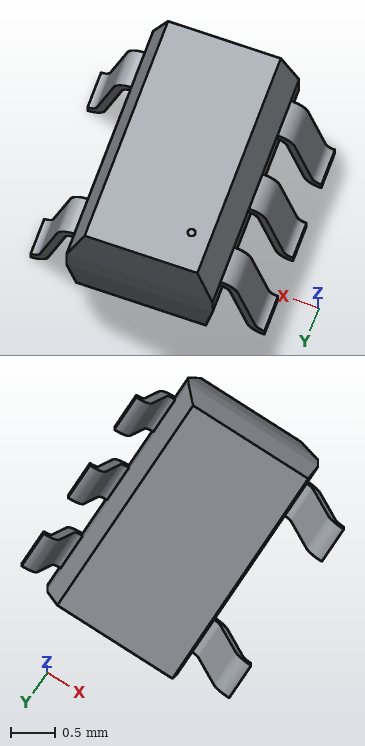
import cadquery as cq
import math

body_width = 1.752
body_length = 2.9
body_clearance = 0.25
bottom_height = 0.58
belt_height = 0.29
top_height = 0.58
bottom_side_inset = 0.1
top_side_inset = 0.2
end_inset = 0.055

belt_bottom_z = body_clearance + bottom_height
belt_top_z = belt_bottom_z + belt_height
body_top_z = belt_top_z + top_height

lead_width = 0.452
lead_pitch = 0.95
lead_thickness = 0.102
lead_top_z = 1.108
outer_bend_radius = 0.218
inner_bend_radius = outer_bend_radius - lead_thickness
leg_angle = math.radians(75)

mark_diameter = 0.087
mark_depth = 0.03
mark_x = -0.447
mark_y = lead_pitch


def frustum(bottom_z, height, bottom_size, top_size):
    """Solid between two centred horizontal rectangles."""
    return (
        cq.Workplane("XY")
        .workplane(offset=bottom_z)
        .rect(*bottom_size)
        .workplane(offset=height)
        .rect(*top_size)
        .loft(ruled=True)
    )


def make_mark():
    """Disc whose top face is flush with the housing top."""
    return (
        cq.Workplane("XY", origin=(mark_x, mark_y, body_top_z))
        .circle(mark_diameter / 2)
        .extrude(-mark_depth)
    )


def make_housing():
    """Tapered package with a recess for the index mark."""
    belt_size = (body_width, body_length)
    end_length = body_length - 2 * end_inset
    bottom_size = (body_width - 2 * bottom_side_inset, end_length)
    top_size = (body_width - 2 * top_side_inset, end_length)

    bottom = frustum(body_clearance, bottom_height, bottom_size, belt_size)
    belt = frustum(belt_bottom_z, belt_height, belt_size, belt_size)
    top = frustum(belt_top_z, top_height, belt_size, top_size)
    return bottom.union(belt).union(top).cut(make_mark())


def make_lead(side, y):
    """Lead on the +X (side = 1) or -X (side = -1) face, standing on Z = 0."""
    middle_radius = (inner_bend_radius + outer_bend_radius) / 2
    bend_drop = 2 * middle_radius * (1 - math.cos(leg_angle))
    bend_run = 2 * middle_radius * math.sin(leg_angle)
    leg_drop = lead_top_z - lead_thickness - bend_drop
    reach = bend_run + leg_drop / math.tan(leg_angle)

    face_x = body_width / 2
    toe_x = face_x + reach
    shoulder_center_z = lead_top_z - outer_bend_radius
    foot_center_z = outer_bend_radius

    def shoulder_point(radius, angle):
        x = face_x + radius * math.sin(angle)
        return (side * x, shoulder_center_z + radius * math.cos(angle))

    def foot_point(radius, angle):
        x = toe_x - radius * math.sin(angle)
        return (side * x, foot_center_z - radius * math.cos(angle))

    half_angle = leg_angle / 2
    return (
        cq.Workplane("XZ", origin=(0, y, 0))
        .moveTo(*shoulder_point(outer_bend_radius, 0))
        .threePointArc(
            shoulder_point(outer_bend_radius, half_angle),
            shoulder_point(outer_bend_radius, leg_angle),
        )
        .lineTo(*foot_point(inner_bend_radius, leg_angle))
        .threePointArc(
            foot_point(inner_bend_radius, half_angle),
            foot_point(inner_bend_radius, 0),
        )
        .lineTo(*foot_point(outer_bend_radius, 0))
        .threePointArc(
            foot_point(outer_bend_radius, half_angle),
            foot_point(outer_bend_radius, leg_angle),
        )
        .lineTo(*shoulder_point(inner_bend_radius, leg_angle))
        .threePointArc(
            shoulder_point(inner_bend_radius, half_angle),
            shoulder_point(inner_bend_radius, 0),
        )
        .close()
        .extrude(lead_width / 2, both=True)
    )


housing = make_housing()
mark = make_mark()

leads = []
for side, rows in ((-1, (-1, 0, 1)), (1, (-1, 1))):
    for row in rows:
        leads.append(make_lead(side, row * lead_pitch))

result = cq.Compound.makeCompound(
    [housing.solids().val(), mark.val(), *[lead.solids().val() for lead in leads]]
)